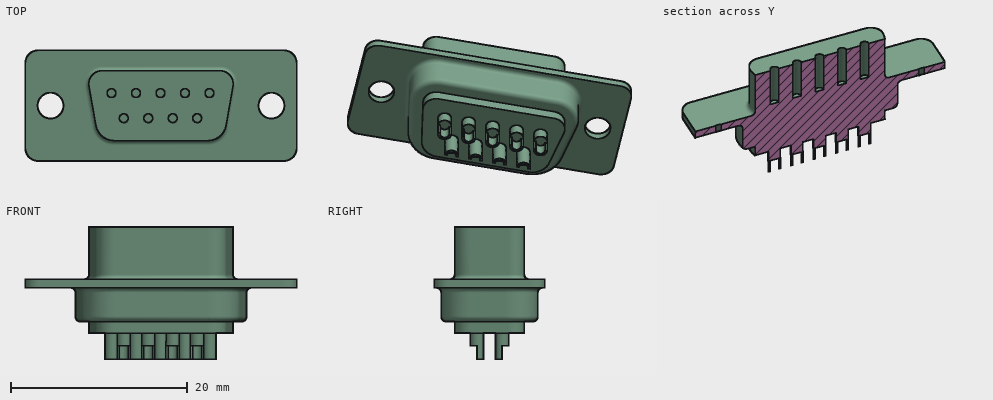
import cadquery as cq
import math


FLANGE_LENGTH = 30.73
FLANGE_WIDTH = 12.55
FLANGE_THICKNESS = 1.0
FLANGE_CORNER_RADIUS = 1.5
MOUNTING_HOLE_SPACING = 24.99
MOUNTING_HOLE_DIAMETER = 2.9

SHELL_LENGTH = 16.33
SHELL_WIDTH = 7.9
SIDE_ANGLE = math.radians(10)
WIDE_CORNER_RADIUS = 1.5
NARROW_CORNER_RADIUS = 2.06

TOTAL_HEIGHT = 15.01
SHELL_HEIGHT = 5.92
REAR_SHELL_HEIGHT = 3.82
INSERT_EXTENSION = 1.3

REAR_SHELL_OFFSET = 1.53
BLEND_RADIUS = 0.5
REAR_EDGE_RADIUS = 0.6

CONTACT_PITCH = 2.77
ROW_SPACING = 2.84
CONTACT_SHIFT = -0.06
WIDE_ROW_COUNT = 5
NARROW_ROW_COUNT = 4
SOCKET_DIAMETER = 1.0
SOCKET_DEPTH = 5.0
PIN_DIAMETER = 1.52
CUP_BORE_DIAMETER = 1.04
CUP_LENGTH = 1.55

SELECTION_MARGIN = 0.01

FLANGE_BOTTOM = -FLANGE_THICKNESS
REAR_SHELL_BOTTOM = FLANGE_BOTTOM - REAR_SHELL_HEIGHT
INSERT_BOTTOM = REAR_SHELL_BOTTOM - INSERT_EXTENSION
PIN_BOTTOM = SHELL_HEIGHT - TOTAL_HEIGHT
PIN_LENGTH = INSERT_BOTTOM - PIN_BOTTOM


def d_prism(z_bottom, z_top, offset=0.0):
    """Prism with the D outline, wide edge at +Y, grown outward by offset."""
    wide_radius = WIDE_CORNER_RADIUS + offset
    narrow_radius = NARROW_CORNER_RADIUS + offset
    wide_x = SHELL_LENGTH / 2 - WIDE_CORNER_RADIUS
    wide_y = SHELL_WIDTH / 2 - WIDE_CORNER_RADIUS
    narrow_y = NARROW_CORNER_RADIUS - SHELL_WIDTH / 2
    narrow_x = (
        wide_x
        - (wide_y - narrow_y) * math.tan(SIDE_ANGLE)
        + (WIDE_CORNER_RADIUS - NARROW_CORNER_RADIUS) / math.cos(SIDE_ANGLE)
    )

    def corner_point(center_x, center_y, radius, angle):
        return (center_x + radius * math.cos(angle), center_y + radius * math.sin(angle))

    def mirrored(point):
        return (-point[0], point[1])

    side_normal = -SIDE_ANGLE
    wide_middle = (side_normal + math.pi / 2) / 2
    narrow_middle = (side_normal - math.pi / 2) / 2
    wide_start = corner_point(wide_x, wide_y, wide_radius, math.pi / 2)
    wide_mid = corner_point(wide_x, wide_y, wide_radius, wide_middle)
    wide_end = corner_point(wide_x, wide_y, wide_radius, side_normal)
    narrow_start = corner_point(narrow_x, narrow_y, narrow_radius, side_normal)
    narrow_mid = corner_point(narrow_x, narrow_y, narrow_radius, narrow_middle)
    narrow_end = corner_point(narrow_x, narrow_y, narrow_radius, -math.pi / 2)
    return (
        cq.Workplane("XY")
        .workplane(offset=z_bottom)
        .moveTo(*wide_start)
        .threePointArc(wide_mid, wide_end)
        .lineTo(*narrow_start)
        .threePointArc(narrow_mid, narrow_end)
        .lineTo(*mirrored(narrow_end))
        .threePointArc(mirrored(narrow_mid), mirrored(narrow_start))
        .lineTo(*mirrored(wide_end))
        .threePointArc(mirrored(wide_mid), mirrored(wide_start))
        .close()
        .extrude(z_top - z_bottom)
    )


def make_flange():
    return (
        cq.Workplane("XY")
        .workplane(offset=FLANGE_BOTTOM)
        .rect(FLANGE_LENGTH, FLANGE_WIDTH)
        .extrude(FLANGE_THICKNESS)
        .edges("|Z")
        .fillet(FLANGE_CORNER_RADIUS)
    )


def row_positions(count, y):
    first_x = CONTACT_SHIFT - (count - 1) * CONTACT_PITCH / 2
    return [(first_x + i * CONTACT_PITCH, y) for i in range(count)]


def make_solder_pin(x, y):
    """Round pin whose end is a bored cup with its outward-facing half removed."""
    pin = cq.Workplane("XY").workplane(offset=PIN_BOTTOM).circle(PIN_DIAMETER / 2).extrude(PIN_LENGTH)
    bore = cq.Workplane("XY").workplane(offset=PIN_BOTTOM).circle(CUP_BORE_DIAMETER / 2).extrude(CUP_LENGTH)
    outward = math.copysign(1, y)
    opening = (
        cq.Workplane("XY")
        .workplane(offset=PIN_BOTTOM)
        .center(0, outward * PIN_DIAMETER / 2)
        .rect(2 * PIN_DIAMETER, PIN_DIAMETER)
        .extrude(CUP_LENGTH)
    )
    return pin.cut(bore).cut(opening).translate((x, y, 0))


def wall_edges(body, z):
    """Edges where a D-shaped wall meets the flange face at height z."""
    reach_x = SHELL_LENGTH / 2 + REAR_SHELL_OFFSET + SELECTION_MARGIN
    reach_y = SHELL_WIDTH / 2 + REAR_SHELL_OFFSET + SELECTION_MARGIN
    box = cq.selectors.BoxSelector(
        (-reach_x, -reach_y, z - SELECTION_MARGIN),
        (reach_x, reach_y, z + SELECTION_MARGIN),
    )
    return body.edges(box)


contacts = row_positions(WIDE_ROW_COUNT, ROW_SPACING / 2)
contacts += row_positions(NARROW_ROW_COUNT, -ROW_SPACING / 2)

rear_shell = d_prism(REAR_SHELL_BOTTOM, FLANGE_BOTTOM, REAR_SHELL_OFFSET)
rear_shell = rear_shell.faces("<Z").edges().fillet(REAR_EDGE_RADIUS)

body = make_flange().union(d_prism(0, SHELL_HEIGHT)).union(rear_shell)
body = wall_edges(body, 0).fillet(BLEND_RADIUS)
body = wall_edges(body, FLANGE_BOTTOM).fillet(BLEND_RADIUS)
body = body.union(d_prism(INSERT_BOTTOM, REAR_SHELL_BOTTOM))

mounting_holes = (
    cq.Workplane("XY")
    .workplane(offset=FLANGE_BOTTOM)
    .pushPoints([(-MOUNTING_HOLE_SPACING / 2, 0), (MOUNTING_HOLE_SPACING / 2, 0)])
    .circle(MOUNTING_HOLE_DIAMETER / 2)
    .extrude(FLANGE_THICKNESS)
)
sockets = (
    cq.Workplane("XY")
    .workplane(offset=SHELL_HEIGHT - SOCKET_DEPTH)
    .pushPoints(contacts)
    .circle(SOCKET_DIAMETER / 2)
    .extrude(SOCKET_DEPTH)
)
body = body.cut(mounting_holes).cut(sockets)
for x, y in contacts:
    body = body.union(make_solder_pin(x, y))

result = body